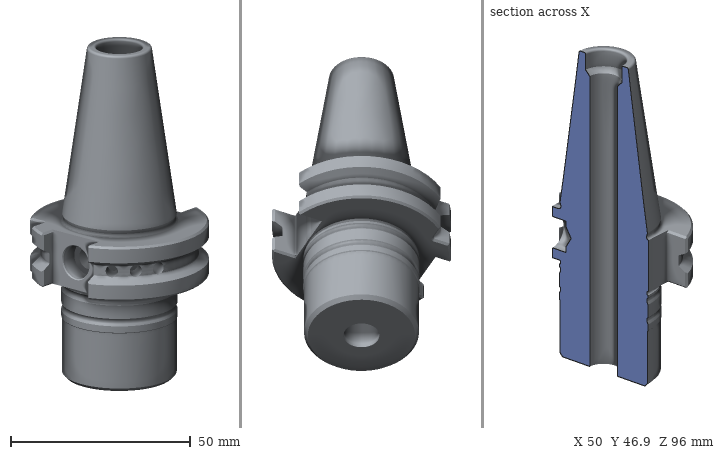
import cadquery as cq
import math

total_height = 96.05
flange_bottom = 29.4
flange_thickness = 15.85
flange_top = flange_bottom + flange_thickness
flange_middle = flange_bottom + flange_thickness / 2
taper_base_height = 47.3
neck_height = 46.2

taper_base_radius = 32.0 / 2
taper_tip_radius = 18.0 / 2
tip_rounding = 0.8
neck_radius = 15.7
neck_foot_radius = 16.4

body_radius = 32.0 / 2
band_radius = 32.5 / 2
groove_radius = 15.8
groove_edge_radius = 15.9
groove_width = 1.3
groove_lip = 0.6
band_chamfer = band_radius - body_radius
nose_chamfer = 1.1
lower_band_bottom = 17.2
lower_band_top = 19.3
middle_band_top = 25.4
collar_top = 28.2

flange_radius = 25.0
edge_chamfer = 0.6
vee_floor_radius = 22.1
vee_floor_rounding = 0.3
vee_floor_width = 3.3
vee_mouth_width = 6.5

slot_half_width = 8.1
slot_corner_radius = 0.5
front_slot_floor = 18.7
back_slot_floor = 16.3
notch_offset = 14.9
notch_corner_radius = 0.6

bore_radius = 10.0 / 2
mouth_radius = 13.0 / 2
mouth_depth = 5.3
mouth_rounding = 0.7

side_hole_radius = 9.5 / 2
side_hole_mouth_radius = 10.1 / 2
side_hole_chamfer = side_hole_mouth_radius - side_hole_radius
side_hole_depth = 5.0
drill_point_radius = 6.0 / 2
drill_point_half_angle = 59
drill_point_depth = drill_point_radius / math.tan(math.radians(drill_point_half_angle))

pocket_diameter = 3.5
pocket_depth = 5.8
pocket_angles = (35.0, 52.5, 70.0)

arc_bulge = 1 - math.sqrt(0.5)


def add_groove(profile, band_top):
    """Continue the profile upward through the rounded groove above a band."""
    arc_start = band_top + groove_lip
    arc_end = arc_start + groove_width
    return (
        profile.lineTo(band_radius, band_top)
        .lineTo(groove_edge_radius, arc_start)
        .threePointArc((groove_radius, arc_start + groove_width / 2), (body_radius, arc_end))
        .lineTo(band_radius, arc_end + band_chamfer)
    )


def make_core():
    """Nose, neck and taper, turned as one solid."""
    profile = (
        cq.Workplane("XZ")
        .lineTo(body_radius - nose_chamfer, 0)
        .lineTo(body_radius, nose_chamfer)
        .lineTo(body_radius, lower_band_bottom)
        .lineTo(band_radius, lower_band_bottom + band_chamfer)
    )
    profile = add_groove(profile, lower_band_top)
    profile = add_groove(profile, middle_band_top)
    foot_middle_radius = neck_radius + arc_bulge * (neck_foot_radius - neck_radius)
    foot_middle_height = flange_top + arc_bulge * (neck_height - flange_top)
    profile = (
        profile.lineTo(band_radius, collar_top)
        .threePointArc(
            (groove_radius, (collar_top + flange_bottom) / 2),
            (groove_edge_radius, flange_bottom),
        )
        .lineTo(neck_foot_radius, flange_bottom)
        .lineTo(neck_foot_radius, flange_top)
        .threePointArc((foot_middle_radius, foot_middle_height), (neck_radius, neck_height))
        .lineTo(taper_base_radius, taper_base_height)
        .lineTo(taper_tip_radius, total_height)
        .lineTo(0, total_height)
        .close()
    )
    core = profile.revolve(360, (0, 0, 0), (0, 1, 0))
    return core.faces(">Z").edges().fillet(tip_rounding)


def make_slot_cutter(floor):
    """Slot opening toward +Y, flared where it meets the flange faces and rim."""
    reach = 2 * flange_radius
    flared_half_width = slot_half_width + edge_chamfer
    mouth_outer = math.sqrt(flange_radius**2 - flared_half_width**2)
    mouth_inner = mouth_outer - edge_chamfer
    cutter = (
        cq.Workplane("XY", origin=(0, 0, flange_bottom))
        .rect(2 * slot_half_width, 2 * (reach - floor))
        .extrude(flange_thickness)
        .edges("|Z")
        .fillet(slot_corner_radius)
        .translate((0, reach, 0))
    )
    rim_flare = (
        cq.Workplane("XY", origin=(0, 0, flange_bottom))
        .polyline([
            (-slot_half_width, mouth_inner),
            (slot_half_width, mouth_inner),
            (flared_half_width, mouth_outer),
            (flared_half_width, reach),
            (-flared_half_width, reach),
            (-flared_half_width, mouth_outer),
        ])
        .close()
        .extrude(flange_thickness)
    )
    cutter = cutter.union(rim_flare)
    for face_height, inward in ((flange_top, -1), (flange_bottom, 1)):
        face_flare = (
            cq.Workplane("XZ", origin=(0, floor, 0))
            .polyline([
                (-flared_half_width, face_height),
                (flared_half_width, face_height),
                (slot_half_width, face_height + inward * edge_chamfer),
                (-slot_half_width, face_height + inward * edge_chamfer),
            ])
            .close()
            .extrude(floor - reach)
        )
        cutter = cutter.union(face_flare)
    return cutter


def make_vee_ring():
    """Ring whose section is the trapezoidal gripper groove."""
    overshoot = 1.0
    half_floor = vee_floor_width / 2
    half_mouth = vee_mouth_width / 2
    ring = (
        cq.Workplane("XZ")
        .moveTo(vee_floor_radius, flange_middle - half_floor)
        .lineTo(flange_radius, flange_middle - half_mouth)
        .lineTo(flange_radius + overshoot, flange_middle - half_mouth)
        .lineTo(flange_radius + overshoot, flange_middle + half_mouth)
        .lineTo(flange_radius, flange_middle + half_mouth)
        .lineTo(vee_floor_radius, flange_middle + half_floor)
        .close()
        .revolve(360, (0, 0, 0), (0, 1, 0))
    )
    inner_edges = cq.selectors.RadiusNthSelector(0)
    return ring.edges(inner_edges).fillet(vee_floor_rounding)


def make_flange():
    """Notched and slotted disc with the gripper groove around its rim."""
    flange = cq.Workplane("XY", origin=(0, 0, flange_bottom)).circle(flange_radius).extrude(flange_thickness)
    notch = (
        cq.Workplane("XY", origin=(-notch_offset, -notch_offset, flange_bottom))
        .rect(-flange_radius, -flange_radius, centered=False)
        .extrude(flange_thickness)
        .edges("|Z and >X and >Y")
        .fillet(notch_corner_radius)
    )
    flange = flange.cut(notch)
    flange = flange.faces("<Z or >Z").edges().chamfer(edge_chamfer)
    flange = flange.cut(make_slot_cutter(back_slot_floor))
    flange = flange.cut(make_slot_cutter(front_slot_floor).rotate((0, 0, 0), (0, 0, 1), 180))
    return flange.cut(make_vee_ring())


def make_bore():
    """Through bore with a wider, rounded mouth at the taper tip."""
    mouth_bottom = total_height - mouth_depth
    rounding_inset = mouth_rounding * arc_bulge
    return (
        cq.Workplane("XZ")
        .lineTo(bore_radius, 0)
        .lineTo(bore_radius, mouth_bottom - (mouth_radius - bore_radius))
        .lineTo(mouth_radius, mouth_bottom)
        .lineTo(mouth_radius, total_height - mouth_rounding)
        .threePointArc(
            (mouth_radius + rounding_inset, total_height - rounding_inset),
            (mouth_radius + mouth_rounding, total_height),
        )
        .lineTo(0, total_height)
        .close()
        .revolve(360, (0, 0, 0), (0, 1, 0))
    )


def make_side_hole():
    """Chamfered hole in the front slot floor: a flat shelf around a drill point."""
    shelf = side_hole_depth - front_slot_floor
    return (
        cq.Workplane("XY", origin=(0, 0, flange_middle))
        .moveTo(0, -front_slot_floor)
        .lineTo(side_hole_mouth_radius, -front_slot_floor)
        .lineTo(side_hole_radius, side_hole_chamfer - front_slot_floor)
        .lineTo(side_hole_radius, shelf)
        .lineTo(drill_point_radius, shelf)
        .lineTo(0, shelf + drill_point_depth)
        .close()
        .revolve(360, (0, 0, 0), (0, 1, 0))
    )


def make_pocket(angle):
    """Blind radial hole in the floor of the gripper groove."""
    return (
        cq.Workplane("XZ", origin=(0, pocket_depth - vee_floor_radius, flange_middle))
        .circle(pocket_diameter / 2)
        .extrude(flange_radius)
        .rotate((0, 0, 0), (0, 0, 1), angle)
    )


result = make_core().union(make_flange())
result = result.cut(make_bore()).cut(make_side_hole())
for pocket_angle in pocket_angles:
    result = result.cut(make_pocket(pocket_angle))